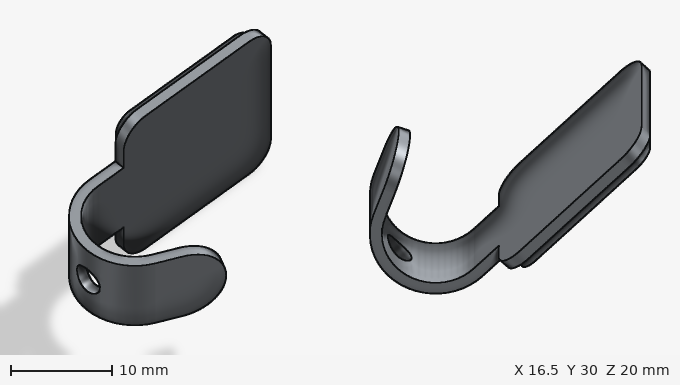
import cadquery as cq
import math

pad_side = 18.0
pad_thickness = 1.0
pad_corner_radius = 2.0

plate_side = 20.0
plate_corner_radius = 3.0
sheet_thickness = 1.2

hook_width = 9.0
neck_length = 3.5
bend_outer_radius = 6.5
bend_inner_radius = bend_outer_radius - sheet_thickness
tail_lean = math.radians(25)
tail_reach = 15.5
hole_diameter = 3.3

plate_edge_y = -plate_side / 2
bend_x = bend_outer_radius
bend_y = plate_edge_y - neck_length
tail_start_x = bend_x + bend_outer_radius * math.cos(tail_lean)
tail_length = (tail_reach - tail_start_x) / math.sin(tail_lean)


def rounded_square(side, thickness, corner_radius, back_x):
    """Square tile with rounded corners, its back face on X = back_x."""
    return (
        cq.Workplane("YZ", origin=(back_x, 0, 0))
        .rect(side, side)
        .extrude(thickness)
        .edges("|X")
        .fillet(corner_radius)
    )


def bend_point(radius, angle):
    """Point on the bend at the given angle from +X."""
    return (bend_x + radius * math.cos(angle), bend_y + radius * math.sin(angle))


def tail_point(radius):
    """Tip of the tail on the face that leaves the bend at the given radius."""
    x, y = bend_point(radius, -tail_lean)
    return (x + tail_length * math.sin(tail_lean), y + tail_length * math.cos(tail_lean))


def make_strip():
    """J-shaped strip running from the plate edge to the square-ended tail."""
    bottom = -math.pi / 2
    return (
        cq.Workplane("XY")
        .moveTo(0, plate_edge_y)
        .lineTo(0, bend_y)
        .threePointArc(bend_point(bend_outer_radius, bottom), bend_point(bend_outer_radius, -tail_lean))
        .lineTo(*tail_point(bend_outer_radius))
        .lineTo(*tail_point(bend_inner_radius))
        .lineTo(*bend_point(bend_inner_radius, -tail_lean))
        .threePointArc(bend_point(bend_inner_radius, bottom), (sheet_thickness, bend_y))
        .lineTo(sheet_thickness, plate_edge_y)
        .close()
        .extrude(hook_width / 2, both=True)
    )


def round_tail_tip(strip):
    """Round the tail to a half circle across its full width."""
    tip_radius = hook_width / 2
    tail_direction = cq.Vector(math.sin(tail_lean), math.cos(tail_lean), 0)
    outward = cq.Vector(math.cos(tail_lean), -math.sin(tail_lean), 0)
    outer_tip = cq.Vector(*tail_point(bend_outer_radius), 0)
    tail_plane = cq.Plane(outer_tip - tail_direction * tip_radius, tail_direction, outward)
    corners = (
        cq.Workplane(tail_plane)
        .moveTo(0, tip_radius)
        .lineTo(tip_radius, tip_radius)
        .lineTo(tip_radius, -tip_radius)
        .lineTo(0, -tip_radius)
        .threePointArc((tip_radius, 0), (0, tip_radius))
        .close()
        .extrude(-sheet_thickness)
    )
    return strip.cut(corners)


def make_hook():
    """Plate, strip and the hole through the bottom of the bend."""
    plate = rounded_square(plate_side, sheet_thickness, plate_corner_radius, 0)
    hole = (
        cq.Workplane("XZ", origin=(bend_x, bend_y, 0))
        .circle(hole_diameter / 2)
        .extrude(2 * bend_outer_radius)
    )
    return plate.union(round_tail_tip(make_strip())).cut(hole)


pad = rounded_square(pad_side, pad_thickness, pad_corner_radius, -pad_thickness)
hook = make_hook()

result = cq.Compound.makeCompound([pad.val(), hook.val()])